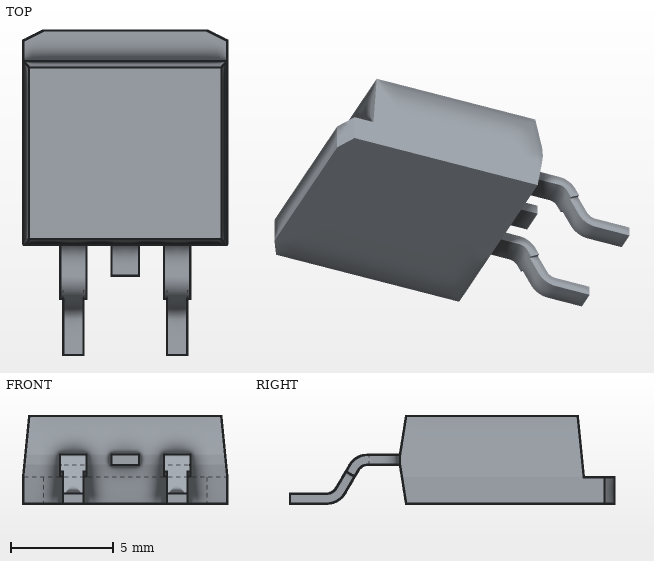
import cadquery as cq
import math


width = 10.0
height = 4.3
overall_length = 15.88
lead_reach = 5.38
rear_y = overall_length - lead_reach

tab_thickness = 1.3
tab_exposed_length = 1.5
tab_corner_x = 1.0
tab_corner_y = 0.5

draft_inset = 0.3
body_rear_y = rear_y - tab_exposed_length

lead_thickness = 0.5
lead_top_z = 2.4
lead_bottom_z = lead_top_z - lead_thickness
lead_pitch = 2.54
lead_root_width = 1.3
lead_tip_width = 1.0
root_flat_length = 1.59
foot_length = 1.79
upper_inner_radius = 0.5
upper_outer_radius = upper_inner_radius + lead_thickness
lower_inner_radius = 0.55
lower_outer_radius = lower_inner_radius + lead_thickness
width_step_z = 1.58
stub_width = 1.35
stub_length = 1.5
embed_depth = 1.0


def make_tab():
    """Heat-sink plate with two clipped rear corners, running under the body."""
    half = width / 2
    outline = [
        (-half, body_rear_y - embed_depth),
        (half, body_rear_y - embed_depth),
        (half, rear_y - tab_corner_y),
        (half - tab_corner_x, rear_y),
        (-half + tab_corner_x, rear_y),
        (-half, rear_y - tab_corner_y),
    ]
    return cq.Workplane("XY").polyline(outline).close().extrude(tab_thickness)


def make_body():
    """Common volume of the drafted side profile and the drafted front profile."""
    side_outline = [
        (draft_inset, 0),
        (body_rear_y, 0),
        (body_rear_y, tab_thickness),
        (body_rear_y - draft_inset, height),
        (draft_inset, height),
        (0, lead_top_z),
        (0, lead_bottom_z),
    ]
    half = width / 2
    front_outline = [
        (-half, 0),
        (half, 0),
        (half, tab_thickness),
        (half - draft_inset, height),
        (-half + draft_inset, height),
        (-half, tab_thickness),
    ]
    side = cq.Workplane("YZ").polyline(side_outline).close().extrude(half, both=True)
    front = cq.Workplane("XZ").polyline(front_outline).close().extrude(-body_rear_y)
    return side.intersect(front)


def make_lead(center_x):
    """Gull-wing lead: wide from the root to the width step, narrow to the tip."""
    upper_y = -root_flat_length
    upper_z = lead_top_z - upper_outer_radius
    lower_y = foot_length - lead_reach
    lower_z = lower_outer_radius
    run = upper_y - lower_y
    drop = upper_z - lower_z
    radius_sum = upper_outer_radius + lower_inner_radius
    slope = math.atan2(drop, run) + math.asin(radius_sum / math.hypot(run, drop))

    def on_upper_bend(radius, angle):
        return (upper_y - radius * math.sin(angle), upper_z + radius * math.cos(angle))

    def on_lower_bend(radius, angle):
        return (lower_y + radius * math.sin(angle), lower_z - radius * math.cos(angle))

    slope_top_y, slope_top_z = on_upper_bend(upper_outer_radius, slope)
    step_top_y = slope_top_y - (slope_top_z - width_step_z) / math.tan(slope)
    step_top = (step_top_y, width_step_z)
    step_bottom = (
        step_top_y + lead_thickness * math.sin(slope),
        width_step_z - lead_thickness * math.cos(slope),
    )

    plane = cq.Workplane("YZ", origin=(center_x, 0, 0))
    root = (
        plane.moveTo(embed_depth, lead_top_z)
        .lineTo(upper_y, lead_top_z)
        .threePointArc(on_upper_bend(upper_outer_radius, slope / 2), (slope_top_y, slope_top_z))
        .lineTo(*step_top)
        .lineTo(*step_bottom)
        .lineTo(*on_upper_bend(upper_inner_radius, slope))
        .threePointArc(on_upper_bend(upper_inner_radius, slope / 2), (upper_y, lead_bottom_z))
        .lineTo(embed_depth, lead_bottom_z)
        .close()
        .extrude(lead_root_width / 2, both=True)
    )
    tip = (
        plane.moveTo(*step_top)
        .lineTo(*on_lower_bend(lower_inner_radius, slope))
        .threePointArc(on_lower_bend(lower_inner_radius, slope / 2), (lower_y, lead_thickness))
        .lineTo(-lead_reach, lead_thickness)
        .lineTo(-lead_reach, 0)
        .lineTo(lower_y, 0)
        .threePointArc(
            on_lower_bend(lower_outer_radius, slope / 2),
            on_lower_bend(lower_outer_radius, slope),
        )
        .lineTo(*step_bottom)
        .close()
        .extrude(lead_tip_width / 2, both=True)
    )
    return root.union(tip)


def make_stub():
    """Cropped straight centre lead."""
    plane = cq.Workplane("XY", origin=(0, -stub_length, lead_bottom_z))
    full_length = stub_length + embed_depth
    return plane.box(stub_width, full_length, lead_thickness, centered=(True, False, False))


result = make_body().union(make_tab()).union(make_stub())
for side_sign in (-1, 1):
    result = result.union(make_lead(side_sign * lead_pitch))